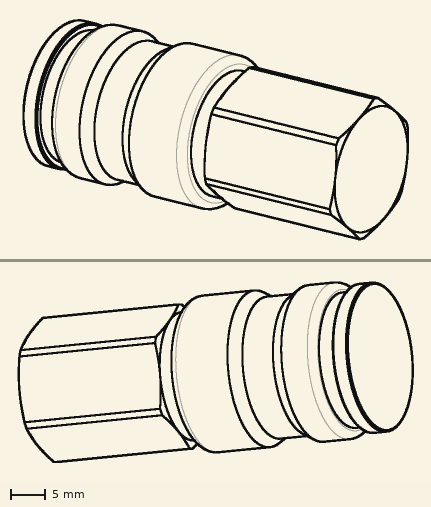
import cadquery as cq
import math

flange_end = 2.5
sleeve_start = 5.1
waist_start = 12.4
waist_end = 17.45
sleeve_end = 28.95
hex_start = 31.45
total_length = 54.5

flange_diameter = 22.0
flange_chamfer = 0.2
front_neck_diameter = 20.0
shaft_diameter = 18.95
hex_across_flats = shaft_diameter
hex_sides = 6
hex_corner_flat = 1.1
hex_corner_angle = 20.0
hex_end_taper = 20.0

sleeve_diameter = 23.15
waist_diameter = 21.0
waist_taper = 30.0
sleeve_rounding = 1.15

chamfer_cone_diameter = 24.0


def cylinder(start, end, diameter):
    """Solid cylinder on the X axis."""
    return cq.Workplane("YZ").workplane(offset=start).circle(diameter / 2).extrude(end - start)


def revolve_about_x(profile_points):
    """Solid of revolution about the X axis from (x, radius) points."""
    return cq.Workplane("XY").polyline(profile_points).close().revolve(360, (0, 0, 0), (1, 0, 0))


def make_hexagon():
    """Wrench hexagon with blunted corners and conically chamfered ends."""
    half_side_angle = 180 / hex_sides
    flats_to_corners = 1 / math.cos(math.radians(half_side_angle))
    across_corners = hex_across_flats * flats_to_corners
    corner_cut_depth = hex_corner_flat / 2 * math.tan(math.radians(half_side_angle))
    length = total_length - hex_start
    blunt_across_flats = across_corners - 2 * corner_cut_depth
    blunt_across_corners = blunt_across_flats * flats_to_corners

    plane = cq.Workplane("YZ").workplane(offset=hex_start)
    hexagon = plane.polygon(hex_sides, across_corners).extrude(length)
    corner_limit = plane.polygon(hex_sides, blunt_across_corners).extrude(length)
    corner_limit = corner_limit.rotate((0, 0, 0), (1, 0, 0), half_side_angle)
    hexagon = hexagon.intersect(corner_limit)
    hexagon = hexagon.rotate((0, 0, 0), (1, 0, 0), hex_corner_angle)

    inner_radius = hex_across_flats / 2
    outer_radius = chamfer_cone_diameter / 2
    cone_length = (outer_radius - inner_radius) * math.tan(math.radians(hex_end_taper))
    chamfer_limit = revolve_about_x([
        (hex_start, 0),
        (hex_start, inner_radius),
        (hex_start + cone_length, outer_radius),
        (total_length - cone_length, outer_radius),
        (total_length, inner_radius),
        (total_length, 0),
    ])
    return hexagon.intersect(chamfer_limit)


def make_inner_body():
    """Closed front flange, front neck, shaft through the sleeve and wrench hexagon."""
    flange = cylinder(0, flange_end, flange_diameter).edges().chamfer(flange_chamfer)
    front_neck = cylinder(flange_end, sleeve_start, front_neck_diameter)
    shaft = cylinder(sleeve_start, hex_start, shaft_diameter)
    return flange.union(front_neck).union(shaft).union(make_hexagon())


def make_sleeve():
    """Sliding sleeve with a waisted grip, bored to fit the shaft."""
    outer_radius = sleeve_diameter / 2
    waist_radius = waist_diameter / 2
    shoulder_length = (outer_radius - waist_radius) / math.tan(math.radians(waist_taper))
    sleeve = revolve_about_x([
        (sleeve_start, 0),
        (sleeve_start, outer_radius),
        (waist_start - shoulder_length, outer_radius),
        (waist_start, waist_radius),
        (waist_end, waist_radius),
        (waist_end + shoulder_length, outer_radius),
        (sleeve_end, outer_radius),
        (sleeve_end, 0),
    ])
    sleeve = sleeve.faces("<X or >X").edges().fillet(sleeve_rounding)
    return sleeve.cut(cylinder(sleeve_start, sleeve_end, shaft_diameter))


inner_body = make_inner_body()
sleeve = make_sleeve()

result = cq.Compound.makeCompound([inner_body.val(), sleeve.val()])